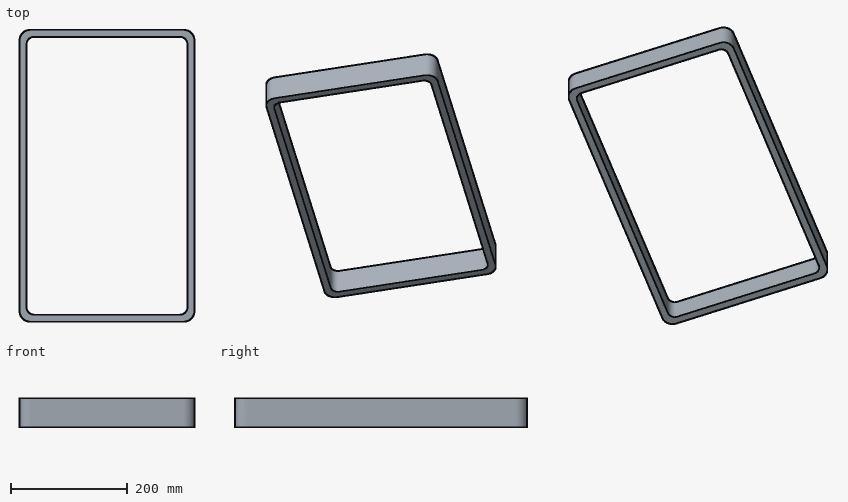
import cadquery as cq

width = 300.0
length = 500.0
height = 50.0

wall = 12.5
outer_radius = 1.5 * wall
inner_radius = wall


def rounded_block(size_x, size_y, corner_radius):
    """Full-height block with rounded vertical edges, standing on Z = 0."""
    block = cq.Workplane("XY").box(size_x, size_y, height, centered=(True, True, False))
    return block.edges("|Z").fillet(corner_radius)


outer_block = rounded_block(width, length, outer_radius)
opening = rounded_block(width - 2 * wall, length - 2 * wall, inner_radius)

result = outer_block.cut(opening)